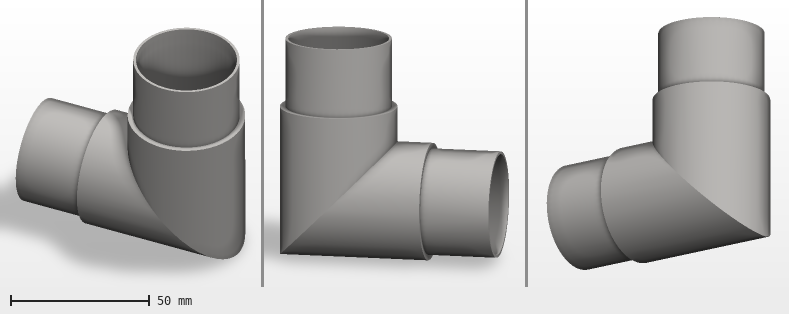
import cadquery as cq

overall_length = 80.0
body_diameter = 42.4
spigot_diameter = 38.4
bore_diameter = 36.4
spigot_length = 25.0

body_radius = body_diameter / 2
axis_reach = overall_length - body_radius
shoulder_reach = axis_reach - spigot_length


def mitred_leg(diameter, reach):
    """Upright cylinder ending at Z = reach, cut below by the plane Z = -X."""
    radius = diameter / 2
    cylinder = (
        cq.Workplane("XY")
        .workplane(offset=-radius)
        .circle(radius)
        .extrude(reach + radius)
    )
    above_mitre = (
        cq.Workplane("XZ")
        .polyline([(-reach, reach), (reach, -reach), (reach, reach)])
        .close()
        .extrude(radius, both=True)
    )
    return cylinder.intersect(above_mitre)


def mitred_elbow(diameter, reach):
    """Solid elbow with one leg along +Z and its mirror image along -X."""
    upright = mitred_leg(diameter, reach)
    level = upright.rotate((0, 0, 0), (-1, 0, 1), 180)
    return upright.union(level)


body = mitred_elbow(body_diameter, shoulder_reach)
spigots = mitred_elbow(spigot_diameter, axis_reach)
bore = mitred_elbow(bore_diameter, axis_reach)

result = body.union(spigots).cut(bore)